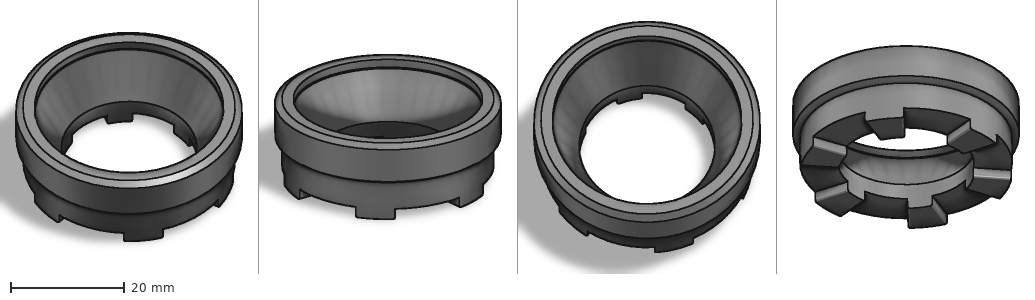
import cadquery as cq
import math

total_height = 14.9
tooth_height = 2.0
collar_height = 7.7
lip_depth = 1.5
seat_band_height = 0.25
bore_height = 4.9

collar_radius = 20.0
body_radius = 18.75
mouth_radius = 16.7
seat_ledge = 0.05
bore_radius = 12.0

bevel_height = 0.75

tooth_count = 6
tooth_width = 7.05
tooth_corner_radius = 0.5
tooth_pitch = 360 / tooth_count
tooth_angle = 2 * math.degrees(math.asin(tooth_width / 2 / body_radius))
first_tooth_angle = -90


def make_ring():
    """Revolve the wall section: collar, body, lip, conical funnel and bore."""
    collar_bottom = total_height - collar_height
    seat_height = total_height - lip_depth
    funnel_top_radius = mouth_radius - seat_ledge
    return (
        cq.Workplane("XZ")
        .moveTo(bore_radius, 0)
        .lineTo(body_radius, 0)
        .lineTo(body_radius, collar_bottom)
        .lineTo(collar_radius, collar_bottom + bevel_height)
        .lineTo(collar_radius, total_height - bevel_height)
        .lineTo(body_radius, total_height)
        .lineTo(mouth_radius, total_height)
        .lineTo(mouth_radius, seat_height)
        .lineTo(funnel_top_radius, seat_height)
        .lineTo(funnel_top_radius, seat_height - seat_band_height)
        .lineTo(bore_radius, bore_height)
        .close()
        .revolve(360, (0, 0, 0), (0, 1, 0))
    )


def make_gap():
    """Wedge with radial sides that separates two neighbouring teeth."""
    half_angle = math.radians((tooth_pitch - tooth_angle) / 2)
    reach = 2 * collar_radius
    x = reach * math.cos(half_angle)
    y = reach * math.sin(half_angle)
    return cq.Workplane("XY").polyline([(0, 0), (x, -y), (x, y)]).close().extrude(tooth_height)


def cut_teeth(ring):
    """Cut the gaps evenly around the lower rim."""
    gap = make_gap()
    for index in range(tooth_count):
        angle = first_tooth_angle + (index + 0.5) * tooth_pitch
        ring = ring.cut(gap.rotate((0, 0, 0), (0, 0, 1), angle))
    return ring


toothed_ring = cut_teeth(make_ring())

result = toothed_ring.faces("<Z").edges("%LINE").fillet(tooth_corner_radius)